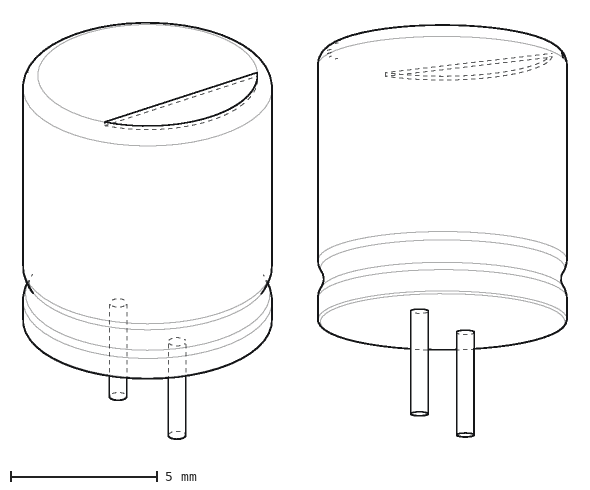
import cadquery as cq
import math


total_height = 13.1
can_diameter = 8.5
can_radius = can_diameter / 2
lead_length = 3.6
top_fillet = 0.5
bottom_fillet = 0.08

groove_z = lead_length + 1.49
groove_depth = 0.2
groove_half_height = 0.67
hollow_half_height = 0.39

mark_edge_x = 1.99
mark_thickness = 0.13
mark_radius = can_radius - top_fillet

lead_diameter = 0.6
lead_spacing = 3.5


def make_mark():
    """Flat segment on the +X side, flush with the top of the can."""
    half_chord = math.sqrt(mark_radius**2 - mark_edge_x**2)
    return (
        cq.Workplane("XY", origin=(0, 0, total_height - mark_thickness))
        .moveTo(mark_edge_x, -half_chord)
        .threePointArc((mark_radius, 0), (mark_edge_x, half_chord))
        .close()
        .extrude(mark_thickness)
    )


def make_can(mark):
    """Revolved can with rounded rims, a crimp groove and a recess for the mark."""
    hollow_depth = groove_depth * hollow_half_height / groove_half_height
    hollow_radius = can_radius - groove_depth + hollow_depth
    profile = (
        cq.Workplane("XZ")
        .moveTo(0, lead_length)
        .lineTo(can_radius - bottom_fillet, lead_length)
        .tangentArcPoint((can_radius, lead_length + bottom_fillet), relative=False)
        .lineTo(can_radius, groove_z - groove_half_height)
        .tangentArcPoint((hollow_radius, groove_z - hollow_half_height), relative=False)
        .tangentArcPoint((hollow_radius, groove_z + hollow_half_height), relative=False)
        .tangentArcPoint((can_radius, groove_z + groove_half_height), relative=False)
        .lineTo(can_radius, total_height - top_fillet)
        .tangentArcPoint((can_radius - top_fillet, total_height), relative=False)
        .lineTo(0, total_height)
        .close()
    )
    return profile.revolve(360, (0, 0, 0), (0, 1, 0)).cut(mark).solids()


def make_lead(x):
    """Round lead that ends against the bottom of the can."""
    return cq.Workplane("XY").center(x, 0).circle(lead_diameter / 2).extrude(lead_length)


mark = make_mark()
can = make_can(mark)
leads = []
for side in (-1, 1):
    leads.append(make_lead(side * lead_spacing / 2).val())

result = cq.Compound.makeCompound([can.val(), mark.val(), *leads])